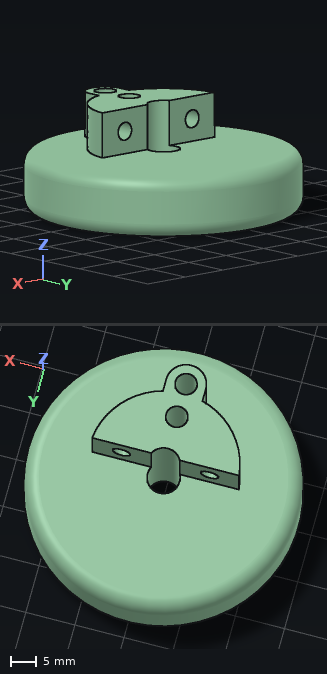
import cadquery as cq

base_diameter = 55.0
base_height = 12.5
rim_radius = 2.95
bore_diameter = 6.5

boss_height = 9.0
boss_radius = 15.0
boss_flat_y = -1.5

lug_radius = 4.0
lug_y = -17.0

pin_hole_diameter = 4.35
inner_pin_y = -10.0
cross_hole_diameter = 3.6
cross_hole_x = 8.95

total_height = base_height + boss_height
cross_hole_z = base_height + boss_height / 2


def make_base():
    """Disc with both rims rounded."""
    disc = cq.Workplane("XY").circle(base_diameter / 2).extrude(base_height)
    return disc.edges("%CIRCLE").fillet(rim_radius)


def make_boss():
    """Disc segment below the flat, joined to a round-ended lug."""
    top_of_base = cq.Workplane("XY").workplane(offset=base_height)
    round_part = top_of_base.circle(boss_radius).extrude(boss_height)
    front_half = (
        top_of_base.center(0, boss_flat_y - boss_radius)
        .rect(2 * boss_radius, 2 * boss_radius)
        .extrude(boss_height)
    )
    segment = round_part.intersect(front_half)
    lug_end = top_of_base.center(0, lug_y).circle(lug_radius).extrude(boss_height)
    lug_neck = (
        top_of_base.center(0, (lug_y + inner_pin_y) / 2)
        .rect(2 * lug_radius, inner_pin_y - lug_y)
        .extrude(boss_height)
    )
    return segment.union(lug_neck).union(lug_end)


def vertical_hole(diameter, y):
    """Cutter through the full height of the part."""
    return cq.Workplane("XY").center(0, y).circle(diameter / 2).extrude(total_height)


def cross_hole(x):
    """Cutter along Y through the whole boss."""
    return (
        cq.Workplane("XZ")
        .center(x, cross_hole_z)
        .circle(cross_hole_diameter / 2)
        .extrude(base_diameter / 2)
    )


result = make_base().union(make_boss())
result = result.cut(vertical_hole(bore_diameter, 0))
for pin_y in (inner_pin_y, lug_y):
    result = result.cut(vertical_hole(pin_hole_diameter, pin_y))
for side in (-1, 1):
    result = result.cut(cross_hole(side * cross_hole_x))